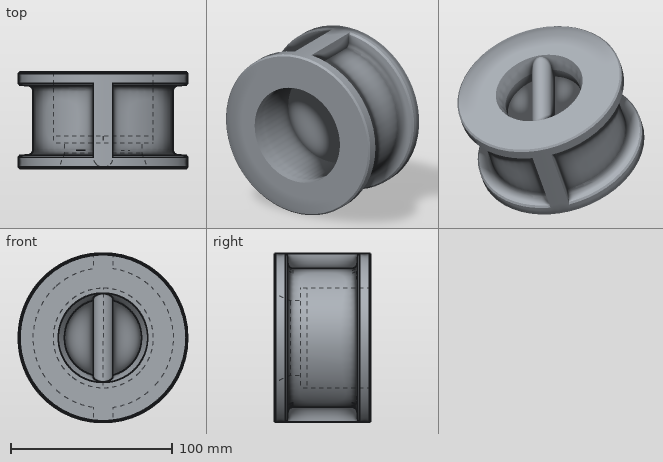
import cadquery as cq

outer_diameter = 105.0
outer_radius = outer_diameter / 2
length = 60.0
front_y = -length / 2
back_y = length / 2

neck_radius = 43.5
rim_chamfer = 1.0
rim_end = 7.0
inner_face_start = 8.2
inner_face_end = 8.6
neck_fillet = 2.8

rib_width = 12.0
bar_width = 12.1
bar_nose_setback = 1.0

inlet_mouth_radius = 27.7
throat_radius = 23.9
inlet_taper_length = 9.9
seat_depth = 16.1
outlet_radius = 62.0 / 2
seat_y = front_y + seat_depth

plate_thickness = 4.2


def y_cylinder(radius, start_y, depth):
    """Solid cylinder on the Y axis, running towards +Y from start_y."""
    return cq.Workplane("XZ", origin=(0, start_y, 0)).circle(radius).extrude(-depth)


def make_spool():
    """Solid spool: two chamfered flanges joined by a filleted neck."""
    rim_edge = outer_radius - rim_chamfer
    profile = (
        cq.Workplane("XY")
        .moveTo(0, front_y)
        .lineTo(rim_edge, front_y)
        .lineTo(outer_radius, front_y + rim_chamfer)
        .lineTo(outer_radius, front_y + rim_end)
        .lineTo(rim_edge, front_y + inner_face_start)
        .lineTo(neck_radius + neck_fillet, front_y + inner_face_end)
        .radiusArc((neck_radius, front_y + inner_face_end + neck_fillet), neck_fillet)
        .lineTo(neck_radius, back_y - inner_face_end - neck_fillet)
        .radiusArc((neck_radius + neck_fillet, back_y - inner_face_end), neck_fillet)
        .lineTo(rim_edge, back_y - inner_face_start)
        .lineTo(outer_radius, back_y - rim_end)
        .lineTo(outer_radius, back_y - rim_chamfer)
        .lineTo(rim_edge, back_y)
        .lineTo(0, back_y)
        .close()
    )
    return profile.revolve(360, (0, 0, 0), (0, 1, 0))


def make_ribs():
    """Ribs at the top and bottom, flush with the flange rims."""
    rib_length = length - 2 * rim_chamfer
    slab = cq.Workplane("XY").box(rib_width, rib_length, outer_diameter)
    return slab.intersect(y_cylinder(outer_radius, -rib_length / 2, rib_length))


def make_flow_passage():
    """Tapered inlet, straight throat and wider outlet bore, as one cutter."""
    profile = (
        cq.Workplane("XY")
        .moveTo(0, front_y)
        .lineTo(inlet_mouth_radius, front_y)
        .lineTo(throat_radius, front_y + inlet_taper_length)
        .lineTo(throat_radius, seat_y)
        .lineTo(outlet_radius, seat_y)
        .lineTo(outlet_radius, back_y)
        .lineTo(0, back_y)
        .close()
    )
    return profile.revolve(360, (0, 0, 0), (0, 1, 0))


def make_bar():
    """Upright bar with a round nose; it ends level with the seat."""
    half_width = bar_width / 2
    nose_y = front_y + bar_nose_setback
    bar = (
        cq.Workplane("XY", origin=(0, 0, -inlet_mouth_radius))
        .moveTo(-half_width, seat_y)
        .lineTo(-half_width, nose_y + half_width)
        .threePointArc((0, nose_y), (half_width, nose_y + half_width))
        .lineTo(half_width, seat_y)
        .close()
        .extrude(2 * inlet_mouth_radius)
    )
    return bar.intersect(make_flow_passage())


def make_housing():
    shell = make_spool().union(make_ribs()).cut(make_flow_passage())
    return shell.union(make_bar())


def make_plate(side):
    """Half-disc plate on the -X (side = -1) or +X (side = 1) half of the seat."""
    half_space = cq.Workplane("XY").box(outer_diameter, length, outer_diameter)
    half_space = half_space.translate((side * outer_diameter / 2, 0, 0))
    return y_cylinder(outlet_radius, seat_y, plate_thickness).intersect(half_space)


housing = make_housing()
plates = [make_plate(side) for side in (-1, 1)]

result = cq.Compound.makeCompound([housing.val(), *[plate.val() for plate in plates]])